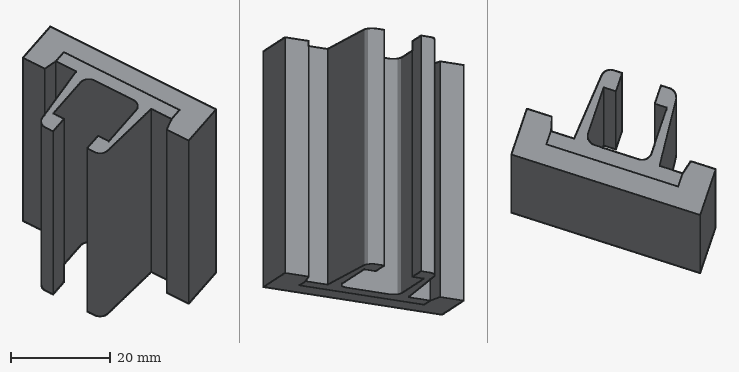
import cadquery as cq

LENGTH = 50.0

BAR_WIDTH = 40.0
BAR_DEPTH = 10.0
BAR_WEB = 4.2
POCKET_WIDTH = 27.9
MOUTH_WIDTH = 29.4

FLANGE_THICKNESS = 2.9
RAIL_FRONT = 23.0
ROOT_WIDTH = 18.1
TIP_WIDTH = 15.5
TIP_RADIUS = 2.0
CAVITY_WIDTH = 13.4
CAVITY_RADIUS = 2.0
LIP_THICKNESS = 4.0
SLOT_WIDTH = 8.2

FLANGE_FRONT = BAR_WEB + FLANGE_THICKNESS


def rectangle_prism(width, y_back, y_front):
    """Full-length block centred on X between two depths below the back face."""
    return cq.Workplane("XY").center(0, -(y_back + y_front) / 2).rect(width, y_front - y_back).extrude(LENGTH)


def tapered_prism(back_width, front_width, y_back, y_front):
    """Full-length block centred on X whose width changes linearly with depth."""
    return (
        cq.Workplane("XY")
        .polyline([
            (-back_width / 2, -y_back),
            (back_width / 2, -y_back),
            (front_width / 2, -y_front),
            (-front_width / 2, -y_front),
        ])
        .close()
        .extrude(LENGTH)
    )


def make_bar():
    """Backing bar with a straight pocket that flares in front of the flange."""
    pocket = rectangle_prism(POCKET_WIDTH, BAR_WEB, FLANGE_FRONT)
    mouth = tapered_prism(POCKET_WIDTH, MOUTH_WIDTH, FLANGE_FRONT, BAR_DEPTH)
    return rectangle_prism(BAR_WIDTH, 0, BAR_DEPTH).cut(pocket).cut(mouth)


def make_rail():
    """Flanged C-channel with tapered outer walls and inward lips."""
    flange = rectangle_prism(POCKET_WIDTH, BAR_WEB, FLANGE_FRONT)
    channel = tapered_prism(ROOT_WIDTH, TIP_WIDTH, FLANGE_FRONT, RAIL_FRONT)
    channel = channel.edges("|Z and <Y").fillet(TIP_RADIUS)
    cavity = rectangle_prism(CAVITY_WIDTH, FLANGE_FRONT, RAIL_FRONT - LIP_THICKNESS)
    cavity = cavity.edges("|Z and >Y").fillet(CAVITY_RADIUS)
    slot = rectangle_prism(SLOT_WIDTH, RAIL_FRONT - LIP_THICKNESS, RAIL_FRONT)
    return flange.union(channel.cut(cavity).cut(slot))


bar = make_bar()
rail = make_rail()

result = cq.Compound.makeCompound([bar.val(), rail.val()])